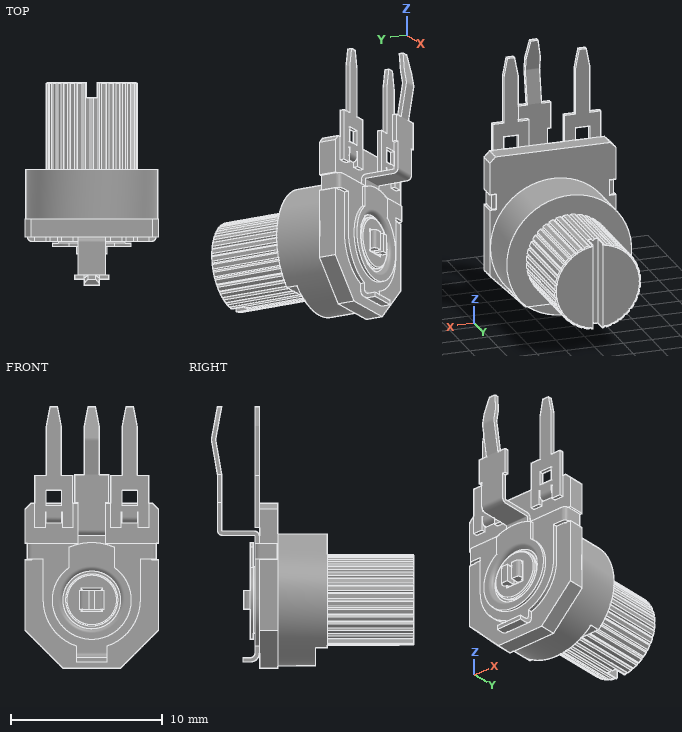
import cadquery as cq
import math


PLATE_WIDTH = 8.8
PLATE_BACK = 1.2
PLATE_TOP = 6.38
PLATE_BOTTOM = -4.5
PLATE_TOP_CHAMFER = 0.4
PLATE_BOTTOM_CHAMFER = 2.5
NOTCH_TOP = 3.73
NOTCH_BOTTOM = 2.65

HOUSING_RADIUS = 4.355
HOUSING_BACK = 4.46
HOUSING_STEP_Z = -3.16
HOUSING_STEP_BACK = 3.7
KNOB_RADIUS = 3.0
KNOB_BACK = 10.18
KNOB_CHAMFER_LENGTH = 0.05
KNOB_CHAMFER_DEPTH = 0.1
KNOB_SLOT_WIDTH = 0.68
KNOB_SLOT_DEPTH = 1.0
SPLINE_COUNT = 36
SPLINE_WIDTH = 0.22
SPLINE_DEPTH = 0.12
SPLINE_OVERSHOOT = 0.1

SHEET = 0.3
BEND_RADIUS = 0.35

CLIP_HALF_SPAN = 4.25
CLIP_BOTTOM_GAP = 0.04
CLIP_LEG_BACK = PLATE_BACK - 0.06
CLIP_BODY_RADIUS = 3.2
FOOT_WIDTH = 2.02
FOOT_BOTTOM = -4.1
FOOT_FRONT = -1.1
FOOT_BEND_RADIUS = 0.62

TERMINAL_TOP = 12.73
TERMINAL_PITCH = 2.5
PIN_WIDTH = 1.0
PIN_TIP_WIDTH = 0.5
PIN_TIP_LENGTH = 1.3
SIDE_BODY_WIDTH = 2.52
SIDE_BODY_TOP = 8.2
SIDE_BODY_BOTTOM = 4.76
WINDOW_TOP = 7.22
WINDOW_BOTTOM = 6.22
TONGUE_BOTTOM = 5.07
TONGUE_BEND_RADIUS = 0.37
TONGUE_SLOT_TOP = 5.8
TONGUE_SLOT_WIDTH = 0.06

NECK_WIDTH = 1.82
SHELF_BOTTOM = 4.24
SHELF_FRONT = -2.78
PADDLE_WIDTH = 2.26
PADDLE_BOTTOM = 6.41
PADDLE_TOP = 8.25
KINK_Z = 10.56
KINK_OFFSET = 0.4
KINK_RADIUS = 0.5

WASHER_BACK = -0.4
WASHER_FRONT = -0.62
WASHER_RADIUS = 2.6
WASHER_TAB_WIDTH = 2.98
WASHER_TAB_RADIUS = 3.78
WASHER_HOLE_RADIUS = 1.9
WASHER_LIP_RADIUS = 0.3
ROTOR_RADIUS = 1.72
ROTOR_FRONT = -0.53
ROTOR_CHAMFER = 0.09
RECESS_WIDTH = 1.44
RECESS_HEIGHT = 1.54
RECESS_DEPTH = 0.14
BOSS_FRONT = -1.04
BOSS_WIDTH = 1.63
BOSS_HEIGHT = 1.26
BOSS_GAP = 0.37
BOSS_HEAD_BULGE = 0.21


def facing(y_back):
    """Workplane at the given Y; its local axes are X and Z and it extrudes towards -Y."""
    return cq.Workplane("XZ", origin=(0, y_back, 0))


def block(x_min, x_max, y_min, y_max, z_min, z_max):
    size = (x_max - x_min, y_max - y_min, z_max - z_min)
    return cq.Workplane("XY").box(*size, centered=False).translate((x_min, y_min, z_min))


def disc(radius, y_front, y_back):
    return facing(y_back).circle(radius).extrude(y_back - y_front)


def rounded_polygon(plane, corners):
    """Closed outline through (u, v, radius) corners, starting at a sharp one (zero radius)."""
    points = [cq.Vector(u, v) for u, v, _ in corners]
    outline = plane.moveTo(points[0].x, points[0].y)
    for i in range(1, len(corners)):
        corner = points[i]
        radius = corners[i][2]
        if radius == 0:
            outline = outline.lineTo(corner.x, corner.y)
            continue
        before = (points[i - 1] - corner).normalized()
        after = (points[(i + 1) % len(points)] - corner).normalized()
        half_angle = before.getAngle(after) / 2
        reach = radius / math.tan(half_angle)
        start = corner + before * reach
        end = corner + after * reach
        middle = corner + (before + after).normalized() * (radius / math.sin(half_angle) - radius)
        outline = outline.lineTo(start.x, start.y)
        outline = outline.threePointArc((middle.x, middle.y), (end.x, end.y))
    return outline.close()


def side_profile(corners, width):
    """Solid of the given width along X from a rounded outline of (Y, Z, radius) corners."""
    return rounded_polygon(cq.Workplane("YZ"), corners).extrude(width / 2, both=True)


def tapered_pin(z_bottom, y_back, depth):
    """Flat pin with a tapered tip, extruded towards -Y."""
    shoulder = TERMINAL_TOP - PIN_TIP_LENGTH
    right_side = [
        (PIN_WIDTH / 2, z_bottom),
        (PIN_WIDTH / 2, shoulder),
        (PIN_TIP_WIDTH / 2, TERMINAL_TOP),
    ]
    left_side = [(-x, z) for x, z in reversed(right_side)]
    return facing(y_back).polyline(right_side + left_side).close().extrude(depth)


def make_plate():
    half = PLATE_WIDTH / 2
    plate = block(-half, half, 0, PLATE_BACK, PLATE_BOTTOM, PLATE_TOP)
    plate = plate.edges("|Y and >Z").chamfer(PLATE_TOP_CHAMFER)
    plate = plate.edges("|Y and <Z").chamfer(PLATE_BOTTOM_CHAMFER)
    notch_floor = CLIP_HALF_SPAN - SHEET
    for x_min in (-half, notch_floor):
        x_max = x_min + half - notch_floor
        plate = plate.cut(block(x_min, x_max, 0, PLATE_BACK, NOTCH_BOTTOM, NOTCH_TOP))
    return plate


def make_housing():
    housing = disc(HOUSING_RADIUS, PLATE_BACK, HOUSING_BACK)
    step = block(
        -HOUSING_RADIUS, HOUSING_RADIUS, HOUSING_STEP_BACK, HOUSING_BACK, -HOUSING_RADIUS, HOUSING_STEP_Z
    )
    return housing.cut(step)


def make_knob():
    knob = disc(KNOB_RADIUS, HOUSING_BACK, KNOB_BACK).faces(">Y").edges()
    knob = knob.chamfer(KNOB_CHAMFER_LENGTH, KNOB_CHAMFER_DEPTH)
    length = KNOB_BACK - HOUSING_BACK
    half = SPLINE_WIDTH / 2
    rim = math.sqrt(KNOB_RADIUS**2 - half**2)
    slope = half / SPLINE_DEPTH
    mouth = half + slope * SPLINE_OVERSHOOT
    mouth_z = rim + SPLINE_OVERSHOOT
    groove_points = [(0, rim - SPLINE_DEPTH), (mouth, mouth_z), (-mouth, mouth_z)]
    groove = facing(KNOB_BACK).polyline(groove_points).close().extrude(length).val()
    grooves = [
        groove.rotate(cq.Vector(0, 0, 0), cq.Vector(0, 1, 0), i * 360 / SPLINE_COUNT)
        for i in range(SPLINE_COUNT)
    ]
    knob = knob.cut(cq.Compound.makeCompound(grooves))
    slot_floor = KNOB_BACK - KNOB_SLOT_DEPTH
    half_slot = KNOB_SLOT_WIDTH / 2
    return knob.cut(block(-half_slot, half_slot, slot_floor, KNOB_BACK, -KNOB_RADIUS, KNOB_RADIUS))


def make_clip():
    strap_bottom = NOTCH_BOTTOM + CLIP_BOTTOM_GAP
    inner = CLIP_HALF_SPAN - SHEET
    strap_corners = [
        (-CLIP_HALF_SPAN, CLIP_LEG_BACK, 0),
        (-CLIP_HALF_SPAN, -SHEET, BEND_RADIUS),
        (CLIP_HALF_SPAN, -SHEET, BEND_RADIUS),
        (CLIP_HALF_SPAN, CLIP_LEG_BACK, 0),
        (inner, CLIP_LEG_BACK, 0),
        (inner, 0, 0),
        (-inner, 0, 0),
        (-inner, CLIP_LEG_BACK, 0),
    ]
    strap_plane = cq.Workplane("XY", origin=(0, 0, strap_bottom))
    strap = rounded_polygon(strap_plane, strap_corners).extrude(NOTCH_TOP - strap_bottom)
    body = block(-CLIP_BODY_RADIUS, CLIP_BODY_RADIUS, -SHEET, 0, 0, NOTCH_TOP)
    body = body.union(disc(CLIP_BODY_RADIUS, -SHEET, 0))
    foot_corners = [
        (0, 0, 0),
        (-SHEET, 0, 0),
        (-SHEET, FOOT_BOTTOM + SHEET, FOOT_BEND_RADIUS - SHEET),
        (FOOT_FRONT, FOOT_BOTTOM + SHEET, 0),
        (FOOT_FRONT, FOOT_BOTTOM, 0),
        (0, FOOT_BOTTOM, FOOT_BEND_RADIUS),
    ]
    return strap.union(body).union(side_profile(foot_corners, FOOT_WIDTH))


def make_side_terminal(x_center):
    half_body = SIDE_BODY_WIDTH / 2
    half_pin = PIN_WIDTH / 2
    half_notch = half_pin + TONGUE_SLOT_WIDTH
    body = block(-half_body, half_body, -SHEET, 0, SIDE_BODY_BOTTOM, SIDE_BODY_TOP)
    body = body.cut(block(-half_pin, half_pin, -SHEET, 0, WINDOW_BOTTOM, WINDOW_TOP))
    body = body.cut(block(-half_notch, half_notch, -SHEET, 0, SIDE_BODY_BOTTOM, TONGUE_SLOT_TOP))
    tongue_corners = [
        (-SHEET, TONGUE_SLOT_TOP, 0),
        (-SHEET, TONGUE_BOTTOM, TONGUE_BEND_RADIUS),
        (SHEET, TONGUE_BOTTOM, 0),
        (SHEET, TONGUE_SLOT_TOP, 0),
    ]
    body = body.union(side_profile(tongue_corners, PIN_WIDTH))
    body = body.union(tapered_pin(SIDE_BODY_TOP, 0, SHEET))
    return body.translate((x_center, 0, 0))


def make_middle_terminal():
    shelf_top = SHELF_BOTTOM + SHEET
    shelf_inner = SHELF_FRONT + SHEET
    inner_radius = BEND_RADIUS - SHEET
    neck_corners = [
        (0, 0, 0),
        (0, shelf_top, BEND_RADIUS),
        (shelf_inner, shelf_top, inner_radius),
        (shelf_inner, PADDLE_BOTTOM, 0),
        (SHELF_FRONT, PADDLE_BOTTOM, 0),
        (SHELF_FRONT, SHELF_BOTTOM, BEND_RADIUS),
        (-SHEET, SHELF_BOTTOM, inner_radius),
        (-SHEET, 0, 0),
    ]
    neck = side_profile(neck_corners, NECK_WIDTH)
    half_paddle = PADDLE_WIDTH / 2
    paddle = block(-half_paddle, half_paddle, SHELF_FRONT, shelf_inner, PADDLE_BOTTOM, PADDLE_TOP)
    kink_corners = [
        (shelf_inner, PADDLE_TOP, 0),
        (shelf_inner - KINK_OFFSET, KINK_Z, KINK_RADIUS - SHEET),
        (shelf_inner, TERMINAL_TOP, 0),
        (SHELF_FRONT, TERMINAL_TOP, 0),
        (SHELF_FRONT - KINK_OFFSET, KINK_Z, KINK_RADIUS),
        (SHELF_FRONT, PADDLE_TOP, 0),
    ]
    kinked_strip = side_profile(kink_corners, PIN_WIDTH)
    pin = kinked_strip.intersect(tapered_pin(PADDLE_TOP, shelf_inner, SHEET + KINK_OFFSET))
    return neck.union(paddle).union(pin)


def make_washer():
    half_tab = WASHER_TAB_WIDTH / 2
    tab = block(-half_tab, half_tab, WASHER_FRONT, WASHER_BACK, 0, WASHER_TAB_RADIUS)
    tab = tab.intersect(disc(WASHER_TAB_RADIUS, WASHER_FRONT, WASHER_BACK))
    plate = disc(WASHER_RADIUS, WASHER_FRONT, WASHER_BACK).union(tab)
    collar = disc(WASHER_HOLE_RADIUS + WASHER_LIP_RADIUS, WASHER_FRONT, -SHEET)
    washer = plate.union(collar).cut(disc(WASHER_HOLE_RADIUS, WASHER_FRONT, -SHEET))
    rim = cq.selectors.RadiusNthSelector(0)
    return washer.faces("<Y").edges(rim).fillet(WASHER_LIP_RADIUS)


def make_rotor():
    rotor = disc(ROTOR_RADIUS, ROTOR_FRONT, 0).faces("<Y").edges().chamfer(ROTOR_CHAMFER)
    recess_floor = ROTOR_FRONT + RECESS_DEPTH
    taper = math.degrees(math.atan((RECESS_HEIGHT - BOSS_HEIGHT) / 2 / RECESS_DEPTH))
    recess = (
        cq.Workplane("XZ", origin=(0, ROTOR_FRONT, 0))
        .rect(RECESS_WIDTH, RECESS_HEIGHT)
        .extrude(-RECESS_DEPTH, taper=taper)
    )
    rotor = rotor.cut(recess)
    half_height = BOSS_HEIGHT / 2
    half_shaft = BOSS_WIDTH / 2 - BOSS_HEAD_BULGE
    half_head = BOSS_WIDTH / 2
    head_middle = (BOSS_FRONT + ROTOR_FRONT) / 2
    head = (
        cq.Workplane("XY")
        .moveTo(-half_shaft, BOSS_FRONT)
        .lineTo(half_shaft, BOSS_FRONT)
        .threePointArc((half_head, head_middle), (half_shaft, ROTOR_FRONT))
        .lineTo(-half_shaft, ROTOR_FRONT)
        .threePointArc((-half_head, head_middle), (-half_shaft, BOSS_FRONT))
        .close()
        .extrude(half_height, both=True)
    )
    shaft = block(-half_shaft, half_shaft, ROTOR_FRONT, recess_floor, -half_height, half_height)
    half_gap = BOSS_GAP / 2
    gap = block(-half_gap, half_gap, BOSS_FRONT, recess_floor, -half_height, half_height)
    return rotor.union(head.union(shaft).cut(gap))


result = make_plate()
result = result.union(make_housing())
result = result.union(make_knob())
result = result.union(make_clip())
for side in (-1, 1):
    result = result.union(make_side_terminal(side * TERMINAL_PITCH))
result = result.union(make_middle_terminal())
result = result.union(make_washer())
result = result.union(make_rotor())